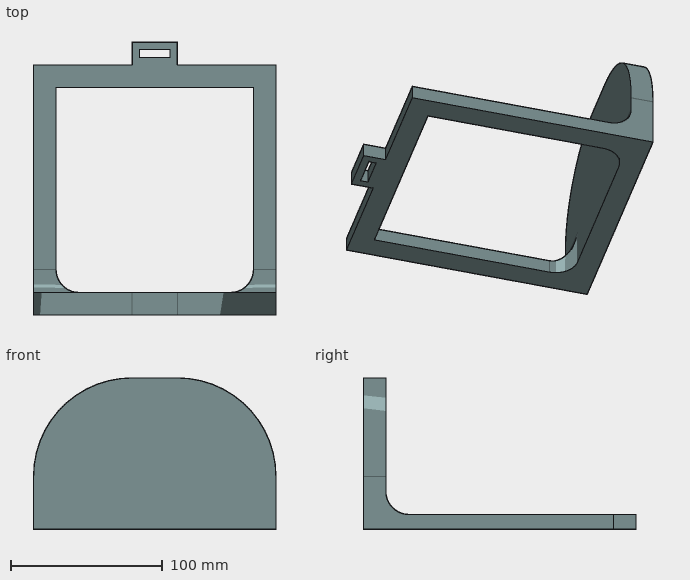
import cadquery as cq

width = 160.0
frame_depth = 165.0
height = 100.0
base_thickness = 10.0
rail_width = 15.0
bend_radius = 15.0
window_corner_radius = 15.0

plate_flat = 30.0
plate_corner_radius = (width - plate_flat) / 2

tab_width = 30.0
tab_length = 15.0
slot_length = 20.0
slot_width = 5.0


def make_bracket():
    """L-shaped side profile with a rounded inside bend, extruded across the width."""
    return (
        cq.Workplane("YZ")
        .polyline([
            (0, 0),
            (frame_depth, 0),
            (frame_depth, base_thickness),
            (rail_width, base_thickness),
            (rail_width, height),
            (0, height),
        ])
        .close()
        .extrude(width / 2, both=True)
        .edges(cq.selectors.NearestToPointSelector((0, rail_width, base_thickness)))
        .fillet(bend_radius)
    )


def round_plate_corners(body):
    """Round both top corners of the upright plate."""
    return body.edges("|Y and >Z").edges("<X or >X").fillet(plate_corner_radius)


def make_window():
    """Opening inside the frame, rounded where it meets the upright plate."""
    window_depth = frame_depth - 2 * rail_width
    return (
        cq.Workplane("XY")
        .center(0, frame_depth / 2)
        .rect(width - 2 * rail_width, window_depth)
        .extrude(height)
        .edges("|Z and <Y")
        .fillet(window_corner_radius)
    )


def make_tab():
    """Tab on the far rail with a slot through its thickness."""
    return (
        cq.Workplane("XY")
        .center(0, frame_depth + tab_length / 2)
        .rect(tab_width, tab_length)
        .rect(slot_length, slot_width)
        .extrude(base_thickness)
    )


bracket = round_plate_corners(make_bracket())
result = bracket.cut(make_window()).union(make_tab())